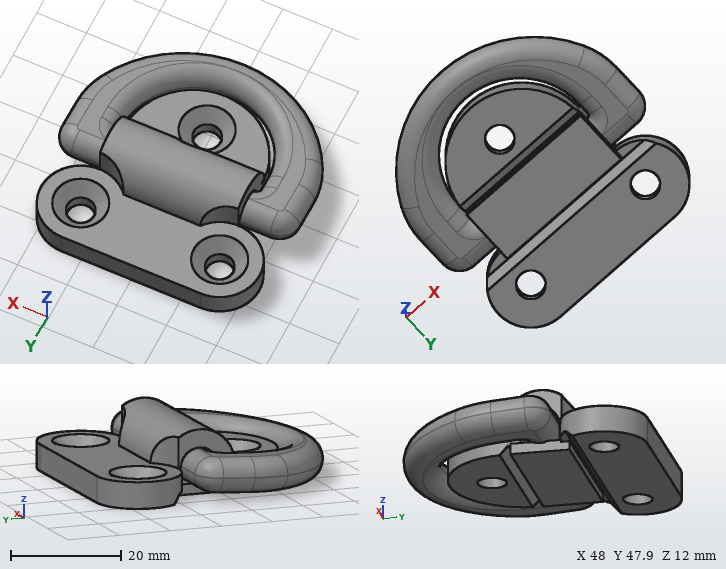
import cadquery as cq
import math


plate_thickness = 5.0
hole_spacing = 28.0
half_width = 13.9
rear_hole_y = 12
front_hole_y = -12
ear_radius = 8.0
tongue_center_y = -6.0
hole_radius = 2.7
countersink_radius = 5.2

barrel_radius = 7.0
hinge_z = plate_thickness
slot_radius = 3.6
screw_clearance_radius = 7.0

keeper_half_depth = 5.5
keeper_thickness = 2.0
flare_half_depth = 7.55
flare_height = 1.65

ring_half_width = 24
ring_radius = 3.25
edge_radius = ring_radius - 0.04
corner_radius = 4.0
opening_half_width = 14.45
opening_corner_radius = 1.0
ring_front_y = -27.95
arc_start_y = -6.95
side_arc_radius = 16.0


def cylinder(x, y, radius, bottom, top):
    return cq.Workplane("XY", origin=(x, y, bottom)).circle(radius).extrude(top - bottom)


def box_between(half_x, y_min, y_max, z_min, z_max):
    size = (2 * half_x, y_max - y_min, z_max - z_min)
    return cq.Workplane("XY", origin=(0, y_min, z_min)).box(*size, centered=(True, False, False))


def make_base_plate():
    ears = (
        cq.Workplane("XY", origin=(0, rear_hole_y, 0))
        .slot2D(hole_spacing + 2 * ear_radius, 2 * ear_radius)
        .extrude(plate_thickness)
    )
    tongue = box_between(half_width, tongue_center_y, rear_hole_y, 0, plate_thickness)
    tongue_end = cylinder(0, tongue_center_y, half_width, 0, plate_thickness)
    return ears.union(tongue).union(tongue_end)


def make_barrel():
    top = hinge_z + barrel_radius
    barrel = (
        cq.Workplane("YZ", origin=(-half_width, 0, 0))
        .center(0, hinge_z)
        .circle(barrel_radius)
        .extrude(2 * half_width)
    )
    barrel = barrel.intersect(box_between(half_width, -barrel_radius, barrel_radius, hinge_z, top))
    for side in (-1, 1):
        barrel = barrel.cut(cylinder(side * hole_spacing / 2, rear_hole_y, ear_radius, hinge_z, top))
    return barrel.cut(cylinder(0, front_hole_y, screw_clearance_radius, hinge_z, top))


def make_hinge_slot():
    """Round-topped slot, open below through a flare with 45 degree flanks."""
    half_length = hole_spacing / 2 + ear_radius
    flare_roof_half_depth = flare_half_depth - flare_height
    start = cq.Workplane("YZ", origin=(-half_length, 0, 0))
    slot = (
        start.moveTo(-slot_radius, 0)
        .lineTo(-slot_radius, hinge_z)
        .threePointArc((0, hinge_z + slot_radius), (slot_radius, hinge_z))
        .lineTo(slot_radius, 0)
        .close()
        .extrude(2 * half_length)
    )
    flare = (
        start.polyline([
            (-flare_half_depth, 0),
            (-flare_roof_half_depth, flare_height),
            (flare_roof_half_depth, flare_height),
            (flare_half_depth, 0),
        ])
        .close()
        .extrude(2 * half_length)
    )
    return slot.union(flare)


def make_keeper():
    return box_between(half_width, -keeper_half_depth, keeper_half_depth, 0, keeper_thickness)


def make_screw_hole(x, y):
    """Through hole with a 90 degree countersink at the top."""
    depth = countersink_radius - hole_radius
    cone = cq.Solid.makeCone(
        hole_radius, countersink_radius, depth, pnt=cq.Vector(x, y, plate_thickness - depth)
    )
    return cylinder(x, y, hole_radius, 0, plate_thickness).union(cq.Workplane(obj=cone))


def make_bracket():
    bracket = make_base_plate().union(make_barrel()).cut(make_hinge_slot()).cut(make_keeper())
    hole_places = [(-hole_spacing / 2, rear_hole_y), (hole_spacing / 2, rear_hole_y), (0, front_hole_y)]
    for x, y in hole_places:
        bracket = bracket.cut(make_screw_hole(x, y))
    return bracket


def rounded_d(half_x, back_y, radius, front):
    """Solid D with rounded back corners; front(sketch) adds the curved front from +X to -X."""
    diagonal = radius * (1 - math.sqrt(0.5))
    sketch = (
        cq.Workplane("XY", origin=(0, 0, -ring_radius))
        .moveTo(-half_x, arc_start_y)
        .lineTo(-half_x, back_y - radius)
        .threePointArc((-half_x + diagonal, back_y - diagonal), (-half_x + radius, back_y))
        .lineTo(half_x - radius, back_y)
        .threePointArc((half_x - diagonal, back_y - diagonal), (half_x, back_y - radius))
        .lineTo(half_x, arc_start_y)
    )
    return front(sketch).close().extrude(2 * ring_radius)


def outer_front(sketch):
    """A wide front arc blended into the straight sides by two tighter, tangent side arcs."""
    side_x = ring_half_width - side_arc_radius
    reach = arc_start_y - ring_front_y
    front_radius = (side_x**2 + reach**2 - side_arc_radius**2) / (2 * (reach - side_arc_radius))
    front_center_y = ring_front_y + front_radius
    blend_angle = math.atan2(front_center_y - arc_start_y, side_x)

    def side_point(side, angle):
        x = side_x + side_arc_radius * math.cos(angle)
        return side * x, arc_start_y - side_arc_radius * math.sin(angle)

    return (
        sketch.threePointArc(side_point(1, blend_angle / 2), side_point(1, blend_angle))
        .threePointArc((0, ring_front_y), side_point(-1, blend_angle))
        .threePointArc(side_point(-1, blend_angle / 2), (-ring_half_width, arc_start_y))
    )


def opening_front(sketch):
    """A plain half circle."""
    return sketch.threePointArc(
        (0, arc_start_y - opening_half_width), (-opening_half_width, arc_start_y)
    )


def make_ring():
    outer = rounded_d(ring_half_width, ring_radius, corner_radius, outer_front)
    opening = rounded_d(opening_half_width, -ring_radius, opening_corner_radius, opening_front)
    outer = outer.faces("<Z or >Z").edges().fillet(edge_radius)
    ring = outer.cut(opening)
    opening_edges = cq.selectors.BoxSelector(
        (-opening_half_width - 0.5, arc_start_y - opening_half_width - 0.5, -ring_radius - 0.5),
        (opening_half_width + 0.5, -ring_radius + 0.5, ring_radius + 0.5),
    )
    ring = ring.faces("<Z or >Z").edges(opening_edges).fillet(edge_radius)
    tilt = math.degrees(math.asin((hinge_z - ring_radius) / (-ring_front_y - ring_radius)))
    return ring.rotate((0, 0, 0), (1, 0, 0), tilt).translate((0, 0, hinge_z))


bracket = make_bracket()
ring = make_ring()
keeper = make_keeper().cut(ring)

result = cq.Compound.makeCompound([
    *bracket.solids().vals(),
    *keeper.solids().vals(),
    *ring.solids().vals(),
])